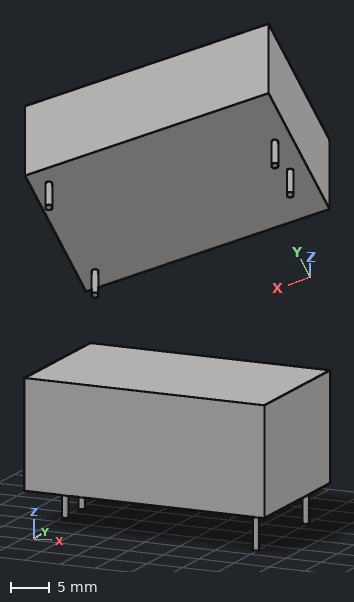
import cadquery as cq

body_length = 34.0
body_width = 20.2
body_height = 15.0

pin_diameter = 0.9
pin_length = 5.0
pin_row_spacing = 29.38
inner_pair_spacing = 5.05
outer_pair_spacing = 15.25


def pin_pair(row_x, spacing):
    """Two pins in one row, placed evenly about the housing's centre line."""
    return (
        cq.Workplane("XY")
        .pushPoints([(row_x, -spacing / 2), (row_x, spacing / 2)])
        .circle(pin_diameter / 2)
        .extrude(-pin_length)
    )


body = cq.Workplane("XY").box(
    body_length, body_width, body_height, centered=(True, True, False)
)

inner_pins = pin_pair(-pin_row_spacing / 2, inner_pair_spacing)
outer_pins = pin_pair(pin_row_spacing / 2, outer_pair_spacing)

result = body.union(inner_pins).union(outer_pins)